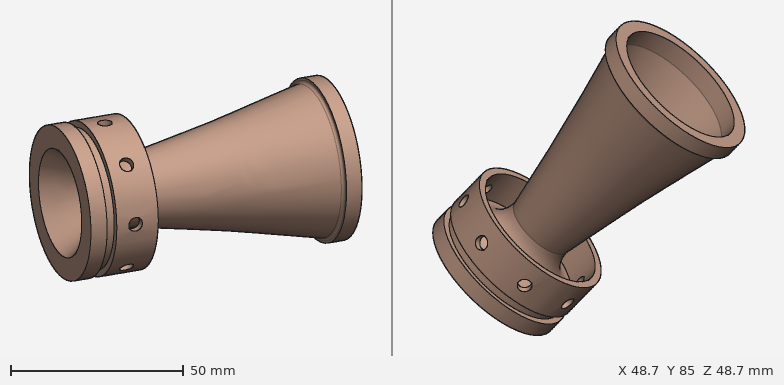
import cadquery as cq
import math

length = 85.0
front_y = -length / 2
back_y = length / 2

flange_diameter = 48.7
flange_radius = flange_diameter / 2
flange_thickness = 4.9
flange_fillet = 0.9
flange_front_y = back_y - flange_thickness

ring_radius = 23.0
ring_length = 21.25
ring_wall = 2.3
ring_back_y = front_y + ring_length

groove_radius = 21.1
groove_start_y = front_y + 5.1
groove_end_y = front_y + 8.2

hole_count = 8
hole_diameter = 4.25
hole_y = front_y + 14.1
hole_spacing = 2 * math.pi / hole_count

throat_radius = 8.1
horn_wall = 2.4
neck_radius = throat_radius + horn_wall
neck_overhang = 0.25
neck_end_y = ring_back_y + neck_overhang
horn_end_radius = 22.7
horn_end_y = flange_front_y - flange_fillet
flare_sag = 0.4

mouth_radius = 16.15
mouth_cone_end_radius = 9.4
mouth_cone_depth = 11.05
cone_angle = math.atan2(mouth_radius - mouth_cone_end_radius, mouth_cone_depth)
cone_end_y = front_y + mouth_cone_depth
cone_direction = (-math.sin(cone_angle), math.cos(cone_angle))
axial_direction = (0, 1)

pocket_radius = 11.05
pocket_wall_radius = ring_radius - ring_wall
pocket_wall_angle = math.acos((neck_radius + pocket_radius - pocket_wall_radius) / pocket_radius)


def flare_middle(inset):
    """Middle point of the flare arc, moved inward by a wall thickness."""
    radius = (neck_radius + horn_end_radius) / 2 - flare_sag - inset
    return (radius, (neck_end_y + horn_end_y) / 2)


def pocket_point(angle):
    """Point on the pocket arc, turned by angle from where it leaves the neck."""
    radius = neck_radius + pocket_radius * (1 - math.cos(angle))
    return (radius, neck_end_y - pocket_radius * math.sin(angle))


def revolve_about_y(profile):
    return profile.close().revolve(360, (0, 0, 0), (0, 1, 0))


def outer_body():
    fillet_offset = flange_fillet * (1 - math.sqrt(0.5))
    profile = (
        cq.Workplane("XY")
        .moveTo(0, front_y)
        .lineTo(ring_radius, front_y)
        .lineTo(ring_radius, groove_start_y)
        .lineTo(groove_radius, groove_start_y)
        .lineTo(groove_radius, groove_end_y)
        .lineTo(ring_radius, groove_end_y)
        .lineTo(ring_radius, ring_back_y)
        .lineTo(pocket_wall_radius, ring_back_y)
        .lineTo(*pocket_point(pocket_wall_angle))
        .threePointArc(pocket_point(pocket_wall_angle / 2), pocket_point(0))
        .threePointArc(flare_middle(0), (horn_end_radius, horn_end_y))
        .threePointArc(
            (horn_end_radius + fillet_offset, flange_front_y - fillet_offset),
            (horn_end_radius + flange_fillet, flange_front_y),
        )
        .lineTo(flange_radius, flange_front_y)
        .lineTo(flange_radius, back_y)
        .lineTo(0, back_y)
    )
    return revolve_about_y(profile)


def bore():
    end_radius = horn_end_radius - horn_wall
    profile = (
        cq.Workplane("XY")
        .moveTo(0, front_y)
        .lineTo(mouth_radius, front_y)
        .lineTo(mouth_cone_end_radius, cone_end_y)
        .spline([(throat_radius, neck_end_y)], tangents=[cone_direction, axial_direction], includeCurrent=True)
        .threePointArc(flare_middle(horn_wall), (end_radius, horn_end_y))
        .lineTo(end_radius, back_y)
        .lineTo(0, back_y)
    )
    return revolve_about_y(profile)


def ring_hole(angle):
    """Radial cutter that starts just inside the ring wall, clear of the neck."""
    start_radius = pocket_wall_radius - ring_wall
    direction = cq.Vector(math.cos(angle), 0, math.sin(angle))
    start = direction * start_radius + cq.Vector(0, hole_y, 0)
    return cq.Solid.makeCylinder(hole_diameter / 2, ring_radius, start, direction)


result = outer_body().cut(bore())
for index in range(hole_count):
    result = result.cut(cq.Workplane(ring_hole(index * hole_spacing)))